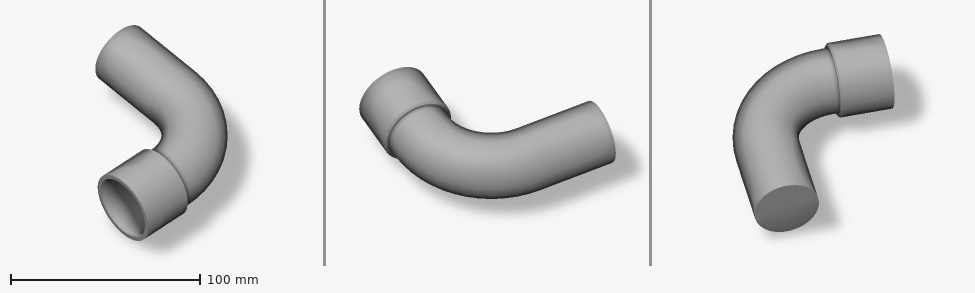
import cadquery as cq

pipe_diameter = 35.0
socket_diameter = 40.0
spigot_length = 43.0
bend_radius = 42.0
bend_angle = 90.0
neck_length = 3.0
socket_length = 29.0
socket_chamfer = 1.0
bore_diameter = pipe_diameter
socket_floor = 2.0
bore_depth = socket_length - socket_floor

neck_start_y = -bend_radius
socket_start_y = neck_start_y - neck_length
socket_end_y = socket_start_y - socket_length


def cylinder_along_y(diameter, start_y, length):
    """Cylinder on the socket axis, from start_y towards -Y."""
    plane = cq.Plane(origin=(bend_radius, start_y, 0), xDir=(1, 0, 0), normal=(0, -1, 0))
    return cq.Workplane(plane).circle(diameter / 2).extrude(length)


def make_spigot():
    return cq.Workplane("YZ").circle(pipe_diameter / 2).extrude(-spigot_length)


def make_bend():
    """Quarter torus from the +X direction round to the -Y direction."""
    bend_axis_start = (-bend_radius, 0)
    bend_axis_end = (-bend_radius, -1)
    section = cq.Workplane("YZ").circle(pipe_diameter / 2)
    return section.revolve(bend_angle, bend_axis_start, bend_axis_end)


def make_socket():
    socket = cylinder_along_y(socket_diameter, socket_start_y, socket_length)
    return socket.faces(">Y").edges().chamfer(socket_chamfer)


def make_bore():
    """Blind bore from the open end of the socket."""
    return cylinder_along_y(bore_diameter, socket_end_y + bore_depth, bore_depth)


neck = cylinder_along_y(pipe_diameter, neck_start_y, neck_length)
body = make_spigot().union(make_bend()).union(neck).union(make_socket())
result = body.cut(make_bore())